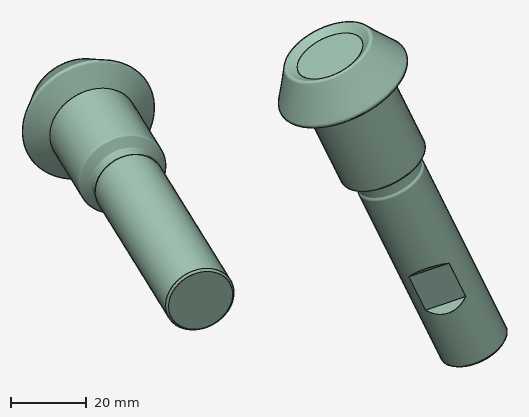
import cadquery as cq
import math

total_length = 101.3
cone_angle = math.radians(30)
cone_slope = math.tan(cone_angle)

head_radius = 18.3
crest_x = 10.3
head_fillet = 0.8
recess_depth = 1.4

collar_radius = 12.2
collar_end_x = 38.0
collar_fillet = 0.7
neck_radius = 9.1
shaft_radius = 9.5
shaft_start_x = 43.2
shaft_fillet = 0.7
neck_fillet = 0.3
end_chamfer = 0.6

notch_center_x = 75.5
notch_floor_length = 11.5
notch_floor_z = -7.6


def revolve_about_x(points):
    """Revolve a closed outline of (x, radius) points about the X axis."""
    return cq.Workplane("XY").polyline(points).close().revolve(360, (0, 0, 0), (1, 0, 0))


def edges_at(body, x, radius):
    """Select the circular edges of the given radius at one axial place."""
    reach = 0.02
    return body.edges(
        cq.selectors.BoxSelector(
            (x - reach, -radius - reach, -radius - reach),
            (x + reach, radius + reach, radius + reach),
            boundingbox=True,
        )
    )


def make_head():
    """Double-cone ring with a dished mouth and a socket for the stem."""
    corner_offset = head_fillet * (math.sin(cone_angle) + math.cos(cone_angle) - 1)
    crest_corner_x = crest_x + corner_offset
    crest_corner_radius = head_radius + corner_offset
    rim_corner_x = -corner_offset
    rim_corner_radius = crest_corner_radius - (crest_corner_x - rim_corner_x) * cone_slope
    back_x = crest_corner_x + (crest_corner_radius - collar_radius) * cone_slope
    mouth_radius = rim_corner_radius - (recess_depth - rim_corner_x) / cone_slope

    head = revolve_about_x([
        (rim_corner_x, rim_corner_radius),
        (crest_corner_x, crest_corner_radius),
        (back_x, collar_radius),
        (recess_depth, collar_radius),
        (recess_depth, mouth_radius),
    ])
    head = edges_at(head, crest_corner_x, crest_corner_radius).fillet(head_fillet)
    return edges_at(head, rim_corner_x, rim_corner_radius).fillet(head_fillet)


def make_notch():
    """Trapezoidal cutter across the shaft, with 45 degree flanks."""
    half_floor = notch_floor_length / 2
    cut_bottom_z = -collar_radius
    half_mouth = half_floor + notch_floor_z - cut_bottom_z
    return (
        cq.Workplane("XZ")
        .polyline([
            (notch_center_x - half_floor, notch_floor_z),
            (notch_center_x + half_floor, notch_floor_z),
            (notch_center_x + half_mouth, cut_bottom_z),
            (notch_center_x - half_mouth, cut_bottom_z),
        ])
        .close()
        .extrude(collar_radius, both=True)
    )


def make_stem():
    """Stepped stem with a necked groove, a long shaft and a cross notch."""
    neck_start_x = collar_end_x + (collar_radius - neck_radius) * cone_slope
    neck_end_x = shaft_start_x - (shaft_radius - neck_radius) * cone_slope
    stem = revolve_about_x([
        (recess_depth, 0),
        (recess_depth, collar_radius),
        (collar_end_x, collar_radius),
        (neck_start_x, neck_radius),
        (neck_end_x, neck_radius),
        (shaft_start_x, shaft_radius),
        (total_length - end_chamfer, shaft_radius),
        (total_length, shaft_radius - end_chamfer),
        (total_length, 0),
    ])
    stem = edges_at(stem, collar_end_x, collar_radius).fillet(collar_fillet)
    stem = edges_at(stem, neck_start_x, neck_radius).fillet(neck_fillet)
    stem = edges_at(stem, neck_end_x, neck_radius).fillet(neck_fillet)
    stem = edges_at(stem, shaft_start_x, shaft_radius).fillet(shaft_fillet)
    return stem.cut(make_notch())


head = make_head()
stem = make_stem()
result = cq.Compound.makeCompound([head.val(), stem.val()])